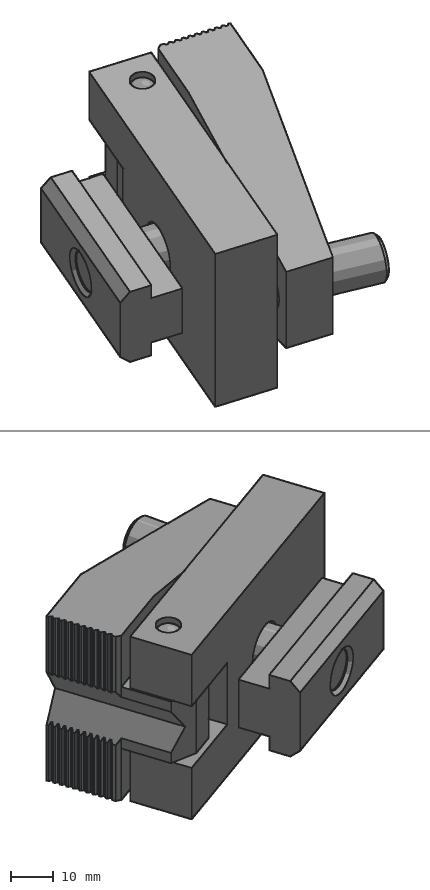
import cadquery as cq
import math


body_height = 48.0
thread_dia = 12.0
tongue_width = 18.0

base_left = 1.5
base_length = 70.0
base_depth = 16.0
slot_length = 18.8
bolt_hole_dia = 13.0

jaw_length = 72.0
jaw_gap = 2.0
jaw_depth = 19.0
jaw_head_length = 18.0
jaw_tail_depth = 12.0
jaw_tail_height = 24.0
jaw_bottom = jaw_gap
jaw_top = jaw_bottom + jaw_depth
jaw_corner = 1.0

tongue_left = jaw_corner
tongue_right = 19.0
tongue_bottom = -14.4
tongue_lead_x = 7.1
tongue_lead_angle = 30.0
tongue_heel_x = 13.7
tongue_heel_angle = 45.0

vee_depth = 4.5
vee_half_angle = 60.0
groove_count = 10
groove_depth = 0.5
groove_mouth = 1.2
groove_floor = 0.35
first_groove = 1.15
groove_span = 15.3
groove_pitch = groove_span / (groove_count - 1)

pin_x = 9.5
pin_y = -6.0
pin_dia = 6.0
pin_recess = 1.8
pin_dome_radius = 3.8

screw_tilt = 5.0
screw_length = 29.7
screw_foot_x = 61.9
screw_top_chamfer = 0.9
screw_foot_chamfer = 1.3

bolt_x = 40.0
head_dia = 18.0
head_height = 12.0
nut_gap = 4.0
nut_length = 44.0
nut_depth = 16.0
neck_depth = 8.0
neck_width = 14.0
nut_width = 22.0
nut_chamfer = 2.5
recess_dia = 10.1
recess_depth = 1.3


def cylinder_y(x, y_from, y_to, diameter):
    """Cylinder along Y between two Y positions."""
    plane = cq.Plane(origin=(x, y_from, 0), xDir=(1, 0, 0), normal=(0, 1, 0))
    return cq.Workplane(plane).circle(diameter / 2).extrude(y_to - y_from)


def prism_z(points, height):
    """Prism with an XY outline, centred on Z = 0."""
    return cq.Workplane("XY").polyline(points).close().extrude(height / 2, both=True)


def prism_x(points, x_from, length):
    """Prism with a YZ outline, running along +X."""
    return cq.Workplane("YZ", origin=(x_from, 0, 0)).polyline(points).close().extrude(length)


def prism_y(points, y_from, y_to):
    """Prism with an outline of (x, z) points, running along Y."""
    plane = cq.Plane(origin=(0, y_to, 0), xDir=(1, 0, 0), normal=(0, -1, 0))
    return cq.Workplane(plane).polyline(points).close().extrude(y_to - y_from)


def make_hinge_pin():
    """Round pin along Z with domed ends."""
    radius = pin_dia / 2
    rim = body_height / 2 - pin_recess
    tip = rim + pin_dome_radius - math.sqrt(pin_dome_radius**2 - radius**2)
    half_dome_angle = math.asin(radius / pin_dome_radius) / 2
    dome_mid_x = pin_dome_radius * math.sin(half_dome_angle)
    dome_mid_z = tip - pin_dome_radius * (1 - math.cos(half_dome_angle))
    return (
        cq.Workplane("XZ")
        .moveTo(0, -tip)
        .threePointArc((dome_mid_x, -dome_mid_z), (radius, -rim))
        .lineTo(radius, rim)
        .threePointArc((dome_mid_x, dome_mid_z), (0, tip))
        .close()
        .revolve(360, (0, 0, 0), (0, 1, 0))
        .translate((pin_x, pin_y, 0))
    )


def make_pin_hole():
    """Through hole for the hinge pin."""
    return cq.Workplane("XY").center(pin_x, pin_y).circle(pin_dia / 2).extrude(body_height, both=True)


def screw_plane():
    """Plane of the screw's lower end, whose lowest point rests on the base."""
    tilt = math.radians(screw_tilt)
    foot_radius = thread_dia / 2 - screw_foot_chamfer
    centre_y = foot_radius * math.sin(tilt)
    axis = (math.sin(tilt), math.cos(tilt), 0)
    return cq.Plane(origin=(screw_foot_x, centre_y, 0), xDir=(0, 0, 1), normal=axis)


def make_screw_hole():
    """Tilted hole through the jaw, the same diameter as the set screw."""
    return cq.Workplane(screw_plane()).circle(thread_dia / 2).extrude(screw_length)


def make_set_screw():
    """Tilted screw with both ends chamfered."""
    blank = cq.Workplane(screw_plane()).circle(thread_dia / 2).extrude(screw_length)
    return blank.faces(">Y").chamfer(screw_top_chamfer).faces("<Y").chamfer(screw_foot_chamfer)


def make_t_bolt():
    """Bolt with a round head, a shank and a T-shaped foot."""
    foot_top = -base_depth - nut_gap
    foot_bottom = foot_top - nut_depth
    shoulder = foot_top - neck_depth
    head_top = jaw_bottom
    half_neck = neck_width / 2
    half_nut = nut_width / 2
    foot = prism_x(
        [
            (foot_top, half_neck),
            (shoulder, half_neck),
            (shoulder, half_nut),
            (foot_bottom + nut_chamfer, half_nut),
            (foot_bottom, half_nut - nut_chamfer),
            (foot_bottom, -half_nut + nut_chamfer),
            (foot_bottom + nut_chamfer, -half_nut),
            (shoulder, -half_nut),
            (shoulder, -half_neck),
            (foot_top, -half_neck),
        ],
        bolt_x - nut_length / 2,
        nut_length,
    )
    recess = cylinder_y(bolt_x, foot_bottom, foot_bottom + recess_depth, recess_dia)
    recess_cone = cq.Workplane(
        cq.Solid.makeCone(
            thread_dia / 2,
            recess_dia / 2,
            (thread_dia - recess_dia) / 2,
            cq.Vector(bolt_x, foot_bottom, 0),
            cq.Vector(0, 1, 0),
        )
    )
    shank = cylinder_y(bolt_x, foot_top, head_top - head_height, thread_dia)
    head = cylinder_y(bolt_x, head_top - head_height, head_top, head_dia)
    return foot.union(shank).union(head).cut(recess).cut(recess_cone)


def make_base():
    """Block with a slot for the tongue, a pin hole and a counterbored bolt hole."""
    block = (
        cq.Workplane("XY")
        .box(base_length, base_depth, body_height, centered=(False, False, True))
        .translate((base_left, -base_depth, 0))
    )
    slot = (
        cq.Workplane("XY")
        .box(slot_length, base_depth, tongue_width, centered=(False, False, True))
        .translate((base_left, -base_depth, 0))
    )
    shank_hole = cylinder_y(bolt_x, -base_depth, 0, bolt_hole_dia)
    counterbore = cylinder_y(bolt_x, jaw_bottom - head_height, 0, head_dia)
    return block.cut(slot).cut(make_pin_hole()).cut(shank_hole).cut(counterbore)


def make_jaw_body():
    """Jaw tapered toward its tail in both Y and Z."""
    plan = prism_z(
        [
            (0, jaw_bottom + jaw_corner),
            (jaw_corner, jaw_bottom),
            (jaw_length, jaw_bottom),
            (jaw_length, jaw_bottom + jaw_tail_depth),
            (jaw_head_length, jaw_top),
            (0, jaw_top),
        ],
        body_height,
    )
    elevation = prism_y(
        [
            (0, body_height / 2),
            (jaw_head_length, body_height / 2),
            (jaw_length, jaw_tail_height / 2),
            (jaw_length, -jaw_tail_height / 2),
            (jaw_head_length, -body_height / 2),
            (0, -body_height / 2),
        ],
        jaw_bottom,
        jaw_top,
    )
    return plan.intersect(elevation)


def make_tongue():
    """Tongue under the jaw head, sloped at both lower corners."""
    lead_rise = (tongue_lead_x - tongue_left) * math.tan(math.radians(tongue_lead_angle))
    heel_rise = (tongue_right - tongue_heel_x) * math.tan(math.radians(tongue_heel_angle))
    return prism_z(
        [
            (tongue_left, jaw_bottom),
            (tongue_left, tongue_bottom + lead_rise),
            (tongue_lead_x, tongue_bottom),
            (tongue_heel_x, tongue_bottom),
            (tongue_right, tongue_bottom + heel_rise),
            (tongue_right, jaw_bottom),
        ],
        tongue_width,
    )


def make_serrations():
    """Vertical flat-bottomed grooves across the gripping face."""
    grooves = cq.Workplane("XY")
    for index in range(groove_count):
        centre = jaw_top - first_groove - index * groove_pitch
        grooves = grooves.add(
            prism_z(
                [
                    (0, centre - groove_mouth / 2),
                    (groove_depth, centre - groove_floor / 2),
                    (groove_depth, centre + groove_floor / 2),
                    (0, centre + groove_mouth / 2),
                ],
                body_height,
            )
        )
    return grooves.combine()


def make_jaw():
    """Jaw with tongue, V notch, serrations, pin hole and screw hole."""
    vee_half_width = vee_depth * math.tan(math.radians(vee_half_angle))
    vee = prism_y([(0, vee_half_width), (vee_depth, 0), (0, -vee_half_width)], tongue_bottom, jaw_top)
    jaw = make_jaw_body().union(make_tongue())
    return jaw.cut(vee).cut(make_serrations()).cut(make_pin_hole()).cut(make_screw_hole())


base = make_base()
jaw = make_jaw()
hinge_pin = make_hinge_pin()
set_screw = make_set_screw()
t_bolt = make_t_bolt()

result = cq.Compound.makeCompound(
    [base.val(), jaw.val(), hinge_pin.val(), set_screw.val(), t_bolt.val()]
)